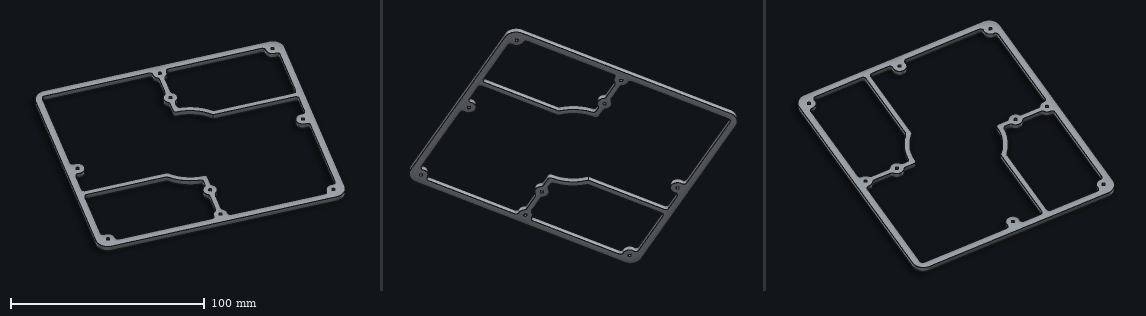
import cadquery as cq
import math

LENGTH_X = 118.4
LENGTH_Y = 134.9
THICKNESS = 3.2
OUTER_CORNER_RADIUS = 6.5
HALF_X = LENGTH_X / 2
HALF_Y = LENGTH_Y / 2

WALL = 4.0
INNER_FILLET = 1.5

HOLE_DIAMETER = 1.6
BOSS_RIM = 3.0
BOSS_RADIUS = HOLE_DIAMETER / 2 + BOSS_RIM
HOLE_X = 53.5
HOLE_Y = 61.0
RIB_HOLE_X = 35.0

RIB_WIDTH = 3.0
BAR_INNER_X = 16.5
BAR_OUTER_X = BAR_INNER_X + RIB_WIDTH
ARC_INNER_RADIUS = 24.0
ARC_OUTER_RADIUS = ARC_INNER_RADIUS + RIB_WIDTH
BEND_Y = math.sqrt(ARC_INNER_RADIUS**2 - BAR_INNER_X**2)

BOSS_CENTRES = [
    (-HOLE_X, HOLE_Y),
    (0, HOLE_Y),
    (HOLE_X, HOLE_Y),
    (-HOLE_X, 0),
    (-RIB_HOLE_X, 0),
    (RIB_HOLE_X, 0),
    (HOLE_X, 0),
    (0, -HOLE_Y),
    (HOLE_X, -HOLE_Y),
]


def block(x_min, x_max, y_min, y_max):
    """Full-thickness block between the given X and Y limits."""
    return (
        cq.Workplane("XY")
        .box(x_max - x_min, y_max - y_min, THICKNESS, centered=False)
        .translate((x_min, y_min, 0))
    )


def disc(radius):
    """Full-thickness disc about the Z axis."""
    return cq.Workplane("XY").circle(radius).extrude(THICKNESS)


def boss(x, y):
    """Boss disc, turned so that the seam of its round side is buried in a wall or rib."""
    seam_angle = 0 if y == 0 else math.copysign(90, y)
    return disc(BOSS_RADIUS).rotate((0, 0, 0), (0, 0, 1), seam_angle).translate((x, y, 0))


def left_rib():
    """Rib from the +Y end wall, round the arc, to the -X side wall."""
    half_width = RIB_WIDTH / 2
    bar = block(-BAR_OUTER_X, -BAR_INNER_X, 0, HALF_Y)
    arc_limits = block(-ARC_OUTER_RADIUS, -BAR_INNER_X, -half_width, ARC_OUTER_RADIUS)
    arc = disc(ARC_OUTER_RADIUS).intersect(arc_limits)
    cross_bar = block(-HALF_X, -BAR_INNER_X, -half_width, half_width)
    return bar.union(arc).union(cross_bar).cut(disc(ARC_INNER_RADIUS))


def is_inner_corner(edge):
    """True for upright edges inside the frame, apart from the sharp inner bend of each rib."""
    centre = edge.Center()
    inside = abs(centre.x) < HALF_X - WALL / 2 and abs(centre.y) < HALF_Y - WALL / 2
    bend_distance = math.hypot(abs(centre.x) - BAR_INNER_X, abs(centre.y) - BEND_Y)
    return inside and bend_distance > INNER_FILLET


plate = block(-HALF_X, HALF_X, -HALF_Y, HALF_Y)
opening = block(WALL - HALF_X, HALF_X - WALL, WALL - HALF_Y, HALF_Y - WALL)
frame = plate.cut(opening)

for turn in (0, 180):
    frame = frame.union(left_rib().rotate((0, 0, 0), (0, 0, 1), turn))

for boss_x, boss_y in BOSS_CENTRES:
    frame = frame.union(boss(boss_x, boss_y))

frame = frame.edges("|Z").filter(is_inner_corner).fillet(INNER_FILLET)

outline = plate.edges("|Z").fillet(OUTER_CORNER_RADIUS)
holes = cq.Workplane("XY").pushPoints(BOSS_CENTRES).circle(HOLE_DIAMETER / 2).extrude(THICKNESS)
result = frame.intersect(outline).cut(holes)